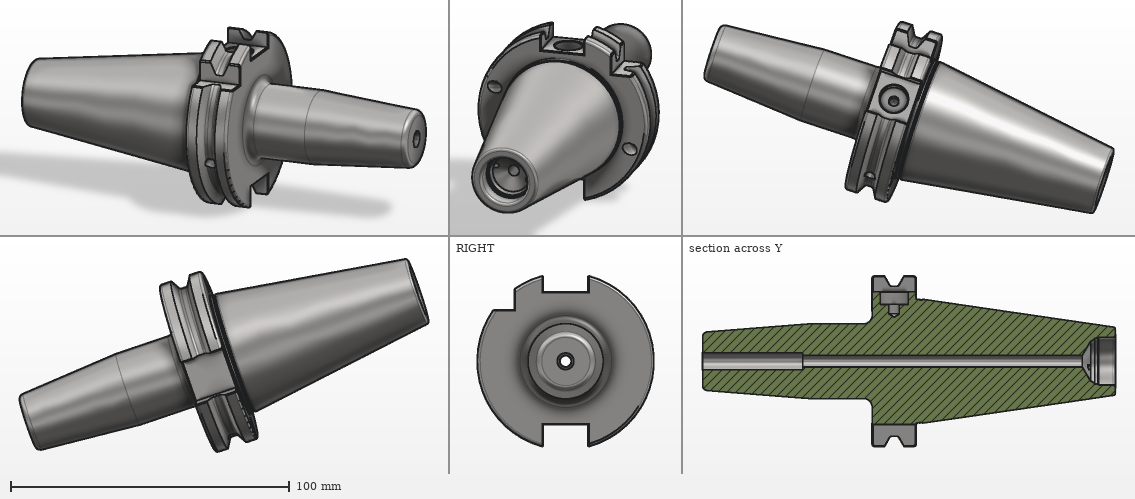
import cadquery as cq
import math

GAUGE_RADIUS = 44.45 / 2
TAPER_LENGTH = 68.4
TAPER_RATE = 7 / 24
TAIL_RADIUS = GAUGE_RADIUS - TAPER_LENGTH * TAPER_RATE / 2
TAIL_FILLET = 1.0
TAPER_OVERRUN = 0.4
COLLAR_RADIUS = GAUGE_RADIUS + TAPER_OVERRUN * TAPER_RATE / 2
UNDERCUT_START = 0.95
UNDERCUT_DEPTH = 0.2
UNDERCUT_FLOOR = 0.6
FLANGE_CORNER_FILLET = 0.4

FLANGE_START = 3.2
FLANGE_END = 19.1
FLANGE_RADIUS = 63.55 / 2
FLANGE_FILLET = 1.0
GROOVE_CENTRE = 11.1
GROOVE_FLOOR_RADIUS = 56.25 / 2
GROOVE_MOUTH = 7.1
GROOVE_HALF_ANGLE = 30
GROOVE_FILLET = 1.0
GROOVE_FLOOR = GROOVE_MOUTH - 2 * (FLANGE_RADIUS - GROOVE_FLOOR_RADIUS) * math.tan(
    math.radians(GROOVE_HALF_ANGLE)
)

SLOT_WIDTH = 16.1
UPPER_SLOT_FLOOR = 25.0
LOWER_SLOT_FLOOR = 22.8
NOTCH_CORNER = 18.5
OPENING_CHAMFER = 0.4

SHANK_RADIUS = 27 / 2
SHANK_FILLET = 3.0
NOSE_END = 80.0
NOSE_RADIUS = 21 / 2
NOSE_HALF_ANGLE = 4.5
NOSE_CONE_LENGTH = (SHANK_RADIUS - NOSE_RADIUS) / math.tan(math.radians(NOSE_HALF_ANGLE))
NOSE_FILLET = 2.0

PILOT_RADIUS = 17 / 2
PILOT_DEPTH = 6.0
PILOT_FILLET = 1.0
STEP_RADIUS = 8.1
STEP_CHAMFER = PILOT_RADIUS - STEP_RADIUS
STEP_END = 7.5
SEAT_LARGE_RADIUS = 7.85
SEAT_SMALL_RADIUS = 7.0
SEAT_END = 9.0
THROUGH_RADIUS = 4.0 / 2
DRILL_HALF_ANGLE = 59
TOOL_BORE_RADIUS = 6 / 2
TOOL_BORE_DEPTH = 36.0

CHIP_DIAMETER = 10.0
CHIP_CHAMFER = 0.3
CHIP_DEPTH = 4.6
CHIP_SCREW_DIAMETER = 3.6
CHIP_SCREW_DEPTH = 8.0

COOLANT_ANGLE = 20
COOLANT_DIAMETER = 4.0
INLET_RADIUS = 27.0
INLET_DIAMETER = 4.3
INLET_TILT = 38
FEED_RADIUS = 6.3
FEED_DIAMETER = 1.8


def revolve_about_x(profile):
    return profile.close().revolve(360, (0, 0, 0), (1, 0, 0))


def make_taper():
    profile = (
        cq.Workplane("XZ")
        .moveTo(-TAPER_LENGTH, 0)
        .lineTo(-TAPER_LENGTH, TAIL_RADIUS)
        .lineTo(TAPER_OVERRUN, COLLAR_RADIUS)
        .lineTo(UNDERCUT_START, COLLAR_RADIUS)
        .line(UNDERCUT_DEPTH, -UNDERCUT_DEPTH)
        .line(UNDERCUT_FLOOR, 0)
        .line(UNDERCUT_DEPTH, UNDERCUT_DEPTH)
        .lineTo(FLANGE_START - FLANGE_CORNER_FILLET, COLLAR_RADIUS)
        .radiusArc((FLANGE_START, COLLAR_RADIUS + FLANGE_CORNER_FILLET), -FLANGE_CORNER_FILLET)
        .lineTo(FLANGE_START, 0)
    )
    return revolve_about_x(profile).faces("<X").edges().fillet(TAIL_FILLET)


def make_disc():
    disc_plane = cq.Plane(origin=(FLANGE_START, 0, 0), xDir=(0, 0, 1), normal=(1, 0, 0))
    disc = cq.Workplane(disc_plane).circle(FLANGE_RADIUS).extrude(FLANGE_END - FLANGE_START)
    return disc.edges().fillet(FLANGE_FILLET)


def make_v_groove():
    groove = revolve_about_x(
        cq.Workplane("XZ")
        .moveTo(GROOVE_CENTRE - GROOVE_MOUTH / 2, FLANGE_RADIUS)
        .lineTo(GROOVE_CENTRE - GROOVE_FLOOR / 2, GROOVE_FLOOR_RADIUS)
        .lineTo(GROOVE_CENTRE + GROOVE_FLOOR / 2, GROOVE_FLOOR_RADIUS)
        .lineTo(GROOVE_CENTRE + GROOVE_MOUTH / 2, FLANGE_RADIUS)
    )
    return groove.edges(cq.selectors.RadiusNthSelector(0)).fillet(GROOVE_FILLET)


def flange_block(y_size, z_size, y_corner, z_corner):
    length = FLANGE_END - FLANGE_START
    block = cq.Workplane("XY").box(length, y_size, z_size, centered=False)
    return block.translate((FLANGE_START, y_corner, z_corner))


def is_opening_rim(edge):
    """True for an edge that is not an inner corner line between two walls of an opening."""
    centre = edge.Center()
    runs_along_x = edge.geomType() == "LINE" and round(abs(edge.tangentAt(0).x)) == 1
    return not runs_along_x or math.hypot(centre.y, centre.z) > GROOVE_FLOOR_RADIUS


def cut_openings(disc):
    """Cuts the two drive slots and the orientation notch and chamfers their rims."""
    reach = FLANGE_RADIUS
    half_width = SLOT_WIDTH / 2
    opened = (
        disc.cut(flange_block(SLOT_WIDTH, reach, -half_width, UPPER_SLOT_FLOOR))
        .cut(flange_block(SLOT_WIDTH, reach, -half_width, -LOWER_SLOT_FLOOR - reach))
        .cut(flange_block(reach, reach, -NOTCH_CORNER - reach, NOTCH_CORNER))
    )
    walls = opened.faces("#X")
    rims = walls.edges().filter(is_opening_rim)
    return rims.chamfer(OPENING_CHAMFER)


def make_flange():
    return cut_openings(make_disc()).cut(make_v_groove())


def make_nose():
    profile = (
        cq.Workplane("XZ")
        .moveTo(FLANGE_END, 0)
        .lineTo(FLANGE_END, SHANK_RADIUS + SHANK_FILLET)
        .radiusArc((FLANGE_END + SHANK_FILLET, SHANK_RADIUS), -SHANK_FILLET)
        .lineTo(NOSE_END - NOSE_CONE_LENGTH, SHANK_RADIUS)
        .lineTo(NOSE_END, NOSE_RADIUS)
        .lineTo(NOSE_END, 0)
    )
    return revolve_about_x(profile).faces(">X").edges().fillet(NOSE_FILLET)


def make_bore():
    drill_cone = (SEAT_SMALL_RADIUS - THROUGH_RADIUS) / math.tan(math.radians(DRILL_HALF_ANGLE))
    tail = -TAPER_LENGTH
    tool_bore_floor = NOSE_END - TOOL_BORE_DEPTH
    return revolve_about_x(
        cq.Workplane("XZ")
        .moveTo(tail, 0)
        .lineTo(tail, PILOT_RADIUS + PILOT_FILLET)
        .radiusArc((tail + PILOT_FILLET, PILOT_RADIUS), -PILOT_FILLET)
        .lineTo(tail + PILOT_DEPTH, PILOT_RADIUS)
        .lineTo(tail + PILOT_DEPTH + STEP_CHAMFER, STEP_RADIUS)
        .lineTo(tail + STEP_END, STEP_RADIUS)
        .lineTo(tail + STEP_END, SEAT_LARGE_RADIUS)
        .lineTo(tail + SEAT_END, SEAT_SMALL_RADIUS)
        .lineTo(tail + SEAT_END + drill_cone, THROUGH_RADIUS)
        .lineTo(tool_bore_floor, THROUGH_RADIUS)
        .lineTo(tool_bore_floor, TOOL_BORE_RADIUS)
        .lineTo(NOSE_END, TOOL_BORE_RADIUS)
        .lineTo(NOSE_END, 0)
    )


def make_chip_pocket():
    """Chamfered round pocket for a data chip with a drilled screw hole below it."""
    pocket_radius = CHIP_DIAMETER / 2
    pocket_floor = UPPER_SLOT_FLOOR - CHIP_DEPTH
    screw_radius = CHIP_SCREW_DIAMETER / 2
    screw_floor = UPPER_SLOT_FLOOR - CHIP_SCREW_DEPTH
    screw_tip = screw_radius / math.tan(math.radians(DRILL_HALF_ANGLE))
    return (
        cq.Workplane("XZ", origin=(GROOVE_CENTRE, 0, 0))
        .moveTo(0, UPPER_SLOT_FLOOR)
        .lineTo(pocket_radius + CHIP_CHAMFER, UPPER_SLOT_FLOOR)
        .lineTo(pocket_radius, UPPER_SLOT_FLOOR - CHIP_CHAMFER)
        .lineTo(pocket_radius, pocket_floor)
        .lineTo(screw_radius, pocket_floor)
        .lineTo(screw_radius, screw_floor)
        .lineTo(0, screw_floor - screw_tip)
        .close()
        .revolve(360, (0, 0, 0), (0, 1, 0))
    )


def cylinder(diameter, length, start, direction):
    return cq.Workplane(cq.Solid.makeCylinder(diameter / 2, length, start, direction))


def make_coolant_channel(side):
    """Slanted inlet in the flange face, radial channel from the groove and axial feed to the bore."""
    angle = math.radians(COOLANT_ANGLE)
    along = cq.Vector(1, 0, 0)
    outward = cq.Vector(0, math.cos(angle), math.sin(angle)) * side

    channel_floor = FEED_RADIUS - FEED_DIAMETER / 2
    channel = cylinder(
        COOLANT_DIAMETER,
        FLANGE_RADIUS - channel_floor,
        along * GROOVE_CENTRE + outward * channel_floor,
        outward,
    )

    tilt = math.radians(INLET_TILT)
    inlet_direction = along * math.cos(tilt) - outward * math.sin(tilt)
    inlet_mouth = along * FLANGE_START + outward * INLET_RADIUS
    inlet_length = (GROOVE_CENTRE - FLANGE_START) / math.cos(tilt)
    overshoot = INLET_DIAMETER
    inlet = cylinder(
        INLET_DIAMETER,
        inlet_length + overshoot,
        inlet_mouth - inlet_direction * overshoot,
        inlet_direction,
    )

    feed_start = SEAT_END - TAPER_LENGTH
    feed = cylinder(
        FEED_DIAMETER, GROOVE_CENTRE - feed_start, along * feed_start + outward * FEED_RADIUS, along
    )
    return channel.union(inlet).union(feed)


result = make_taper().union(make_flange()).union(make_nose())
result = result.cut(make_bore()).cut(make_chip_pocket())
for side in (1, -1):
    result = result.cut(make_coolant_channel(side))